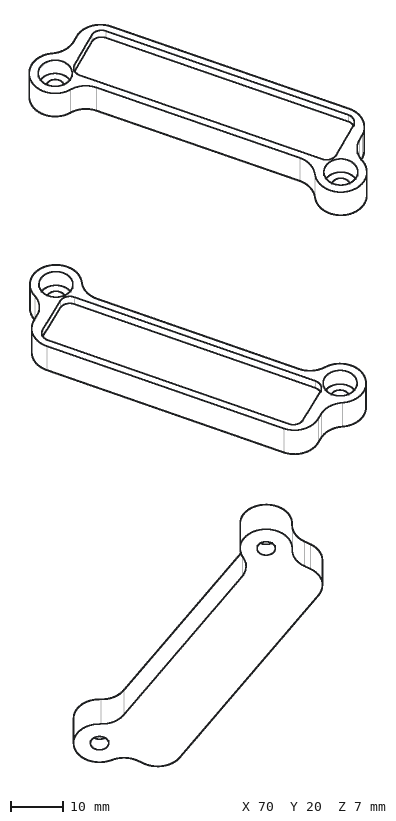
import cadquery as cq
import math

overall_length = 70.0
height = 7.0
overall_depth = 20.0
hole_diameter = 3.5
counterbore_diameter = 6.5
counterbore_depth = 4.0
pocket_depth = 2.0
pocket_corner_radius = 2.0
end_wall = 2.5
side_wall = 1.5

ear_radius = overall_depth / 4
ear_x = overall_length / 2 - ear_radius
body_length = 2 * ear_x
body_width = overall_depth - ear_radius

blend_radius = ear_radius
blend_reach = math.sqrt((ear_radius + blend_radius) ** 2 - blend_radius**2)
contact_ratio = ear_radius / (ear_radius + blend_radius)


def block(length, width, thickness, corner_radius, center_y):
    """Rounded rectangular block standing on z = 0."""
    return (
        cq.Workplane("XY")
        .center(0, center_y)
        .rect(length, width)
        .extrude(thickness)
        .edges("|Z")
        .fillet(corner_radius)
    )


def web(side):
    """Ear neck with a concave arc running into the end and the lower side of the body."""
    far = blend_reach * contact_ratio
    near = blend_radius * contact_ratio
    half_angle = math.atan2(blend_reach, blend_radius) / 2
    mid_near = blend_radius * (1 - math.cos(half_angle))
    mid_far = blend_reach - blend_radius * math.sin(half_angle)

    def at(x, y):
        return (side * (ear_x + x), y)

    return (
        cq.Workplane("XY")
        .moveTo(*at(0, 0))
        .lineTo(*at(near, far))
        .threePointArc(at(mid_near, mid_far), at(0, blend_reach))
        .lineTo(*at(-blend_reach, blend_reach))
        .lineTo(*at(-blend_reach, 0))
        .threePointArc(at(-mid_far, -mid_near), at(-far, -near))
        .close()
        .extrude(height)
    )


body = block(body_length, body_width, height, ear_radius, body_width / 2)
ear_centers = [(-ear_x, 0), (ear_x, 0)]
ears = cq.Workplane("XY").pushPoints(ear_centers).circle(ear_radius).extrude(height)
result = body.union(ears)
for side in (-1, 1):
    result = result.union(web(side))

pocket = block(
    body_length - 2 * end_wall,
    body_width - 2 * side_wall,
    pocket_depth,
    pocket_corner_radius,
    body_width / 2,
).translate((0, 0, height - pocket_depth))
result = result.cut(pocket)

result = (
    result.faces(">Z")
    .workplane(origin=(0, 0, height))
    .pushPoints(ear_centers)
    .cboreHole(hole_diameter, counterbore_diameter, counterbore_depth)
)